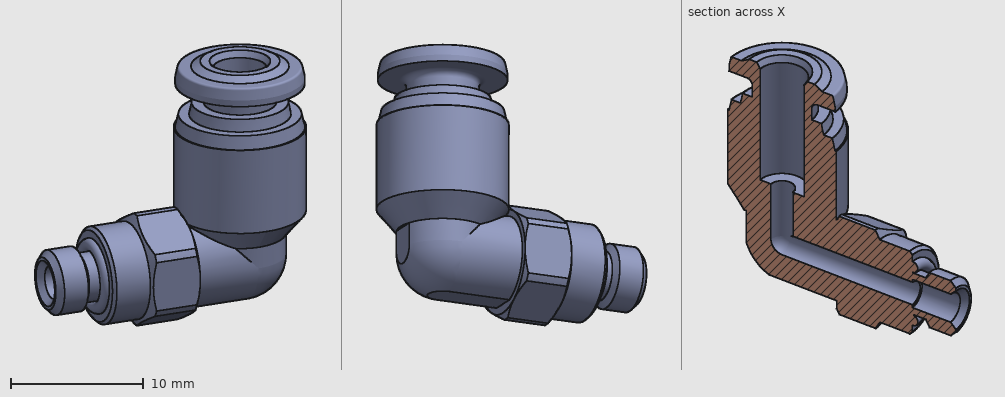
import cadquery as cq
import math


elbow_radius = 3.5
elbow_flat = 3.3

socket_radius = 5.0
cone_base_z = 1.7
cone_top_z = 3.5
socket_top_z = 10.2
lip_edge_radius = 4.9
lip_top_radius = 4.65
lip_top_z = 11.25
insert_base_radius = 3.85
insert_top_radius = 3.65
insert_top_z = 12.2

neck_radius = 2.75
neck_fillet = 0.5
flange_base_z = 13.7
flange_rim_z = 14.2
flange_top_z = 15.1
flange_radius = 4.9
flange_top_radius = 4.7
flange_edge_fillet = 0.2
dome_base_radius = 3.7
dome_top_radius = 3.0
collar_top_z = 15.5

hex_start = 5.0
hex_end = 9.0
hex_flats = 8.0
hex_corner_radius = 4.45
hex_chamfer_slope = math.tan(math.radians(30))

shoulder_radius = 3.75
shoulder_end = 12.0
shoulder_chamfer = 0.25
seal_section_radius = 0.5
groove_radius = 1.9
thread_radius = 2.5
thread_start = 13.2
stud_end = 16.0
thread_lead_in = (thread_radius - groove_radius) * math.tan(math.radians(30))
thread_chamfer = 0.5

tube_bore_radius = 2.0
tube_mouth_widening = 0.3
tube_mouth_depth = 0.5
tube_bore_floor_z = 5.0
passage_radius = 1.0
stud_bore_radius = 1.25
stud_bore_depth = 4.0
stud_mouth_chamfer = 0.5

overlap = 0.5


def cylinder_up(radius, z_start, z_end):
    return cq.Workplane("XY").workplane(offset=z_start).circle(radius).extrude(z_end - z_start)


def cylinder_out(radius, start, end):
    """Cylinder on the stud axis between two distances from the socket axis."""
    return cq.Workplane("XZ").workplane(offset=start).circle(radius).extrude(end - start)


def turned_up(points):
    """Solid of revolution about Z from (radius, z) points."""
    return cq.Workplane("XZ").polyline(points).close().revolve(360, (0, 0), (0, 1))


def turned_out(points):
    """Solid of revolution about the stud axis from (radius, distance) points."""
    outline = [(radius, -distance) for radius, distance in points]
    return cq.Workplane("XY").polyline(outline).close().revolve(360, (0, 0), (0, 1))


def make_elbow():
    bend = cq.Workplane("XY").sphere(elbow_radius)
    post = cylinder_up(elbow_radius, 0, cone_base_z + overlap)
    arm = cylinder_out(elbow_radius, 0, hex_start + overlap)
    elbow = bend.union(post).union(arm)
    size = 4 * hex_end
    inside_flats = cq.Workplane("XY").box(size, size, size, centered=(True, False, False))
    inside_flats = inside_flats.translate((0, elbow_flat - size, -elbow_flat))
    return elbow.intersect(inside_flats)


def make_socket():
    return turned_up([
        (0, cone_base_z),
        (elbow_radius, cone_base_z),
        (socket_radius, cone_top_z),
        (socket_radius, socket_top_z),
        (lip_edge_radius, socket_top_z),
        (lip_top_radius, lip_top_z),
        (insert_base_radius, lip_top_z),
        (insert_top_radius, insert_top_z),
        (0, insert_top_z),
    ])


def make_collar():
    flange = turned_up([
        (0, flange_base_z),
        (flange_radius, flange_base_z),
        (flange_radius, flange_rim_z),
        (flange_top_radius, flange_top_z),
        (0, flange_top_z),
    ])
    flange = flange.faces(">Z").edges().fillet(flange_edge_fillet)
    dome = turned_up([
        (0, flange_base_z),
        (dome_base_radius, flange_base_z),
        (dome_base_radius, flange_top_z),
        (dome_top_radius, collar_top_z),
        (0, collar_top_z),
    ])
    neck_bottom_z = insert_top_z - overlap
    neck = (
        cq.Workplane("XZ")
        .moveTo(0, neck_bottom_z)
        .lineTo(neck_radius, neck_bottom_z)
        .lineTo(neck_radius, flange_base_z - neck_fillet)
        .radiusArc((neck_radius + neck_fillet, flange_base_z), neck_fillet)
        .lineTo(0, flange_base_z)
        .close()
        .revolve(360, (0, 0), (0, 1))
    )
    return neck.union(flange).union(dome)


def make_hexagon():
    corner_diameter = hex_flats / math.cos(math.radians(30))
    prism = (
        cq.Workplane("XZ")
        .workplane(offset=hex_start)
        .transformed(rotate=(0, 0, 90))
        .polygon(6, corner_diameter)
        .extrude(hex_end - hex_start)
    )
    start_radius = hex_flats / 2
    end_radius = shoulder_radius
    start_chamfer = (hex_corner_radius - start_radius) * hex_chamfer_slope
    end_chamfer = (hex_corner_radius - end_radius) * hex_chamfer_slope
    envelope = turned_out([
        (0, hex_start),
        (start_radius, hex_start),
        (hex_corner_radius, hex_start + start_chamfer),
        (hex_corner_radius, hex_end - end_chamfer),
        (end_radius, hex_end),
        (0, hex_end),
    ])
    return prism.intersect(envelope)


def make_stud():
    stud = turned_out([
        (0, hex_end - overlap),
        (shoulder_radius, hex_end - overlap),
        (shoulder_radius, shoulder_end - shoulder_chamfer),
        (shoulder_radius - shoulder_chamfer, shoulder_end),
        (groove_radius, shoulder_end),
        (groove_radius, thread_start),
        (thread_radius, thread_start + thread_lead_in),
        (thread_radius, stud_end - thread_chamfer),
        (thread_radius - thread_chamfer, stud_end),
        (0, stud_end),
    ])
    ring_radius = groove_radius + seal_section_radius
    seal = (
        cq.Workplane("XY")
        .center(ring_radius, -shoulder_end)
        .circle(seal_section_radius)
        .revolve(360, (-ring_radius, 0), (-ring_radius, 1))
    )
    return stud.union(seal)


def make_bores():
    tube_bore = turned_up([
        (0, tube_bore_floor_z),
        (tube_bore_radius, tube_bore_floor_z),
        (tube_bore_radius, collar_top_z - tube_mouth_depth),
        (tube_bore_radius + tube_mouth_widening, collar_top_z),
        (0, collar_top_z),
    ])
    stud_bore = turned_out([
        (0, stud_end - stud_bore_depth),
        (stud_bore_radius, stud_end - stud_bore_depth),
        (stud_bore_radius, stud_end - stud_mouth_chamfer),
        (stud_bore_radius + stud_mouth_chamfer, stud_end),
        (0, stud_end),
    ])
    passage = (
        cylinder_up(passage_radius, 0, tube_bore_floor_z + overlap)
        .union(cylinder_out(passage_radius, 0, stud_end - stud_bore_depth + overlap))
        .union(cq.Workplane("XY").sphere(passage_radius))
    )
    return passage.union(tube_bore).union(stud_bore)


body = make_elbow().union(make_socket()).union(make_collar()).union(make_hexagon()).union(make_stud())
result = body.cut(make_bores())